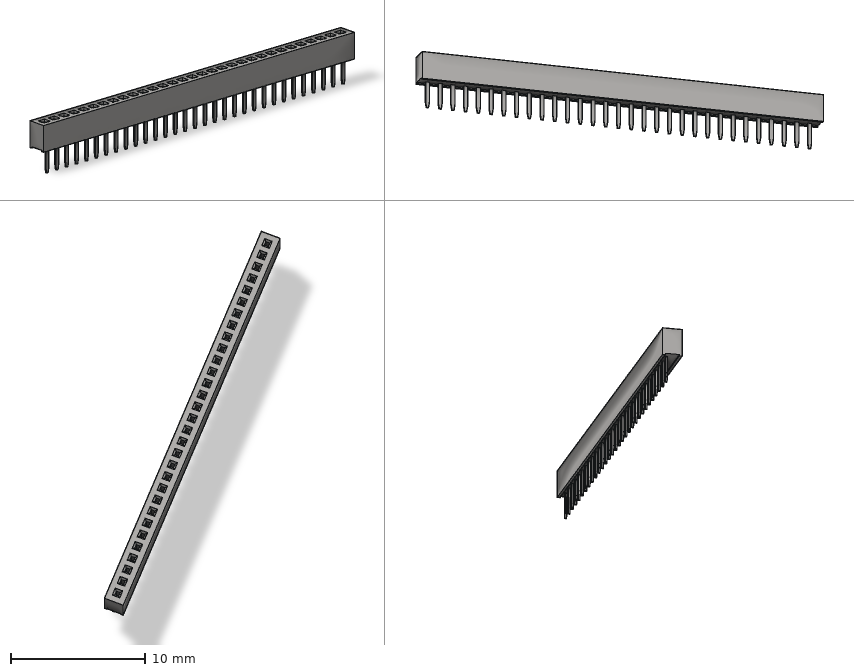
import cadquery as cq

contact_count = 31
pitch = 1.0
body_length = 31.5
body_width = 1.5
body_height = 2.1
overall_height = 4.0

foot_width = 0.22
foot_height = 0.1

socket_mouth = 0.6
socket_throat = 0.3
lead_in_depth = (socket_mouth - socket_throat) / 2
socket_depth = 1.25

pin_offset = 0.3
pin_thickness = 0.13
pin_width = 0.3
pin_tip_width = 0.15
pin_tip_length = 0.4

pin_end = body_height - overall_height
channel_width = body_width - 2 * foot_width
contact_places = [(i - (contact_count - 1) / 2) * pitch for i in range(contact_count)]


def make_body():
    """Rectangular housing standing on two feet at Z = 0."""
    housing = cq.Workplane("XY").box(body_width, body_length, body_height, centered=(True, True, False))
    channel = cq.Workplane("XY").box(channel_width, body_length, foot_height, centered=(True, True, False))
    return housing.cut(channel)


def make_socket(y):
    """Cutter for one socket: a tapered lead-in above a straight square well."""
    lead_in = (
        cq.Workplane("XY", origin=(0, y, body_height))
        .rect(socket_mouth, socket_mouth)
        .workplane(offset=-lead_in_depth)
        .rect(socket_throat, socket_throat)
        .loft(ruled=True)
    )
    well = (
        cq.Workplane("XY", origin=(0, y, body_height))
        .rect(socket_throat, socket_throat)
        .extrude(-socket_depth)
    )
    return lead_in.union(well)


def make_pin(y):
    """Flat pin below the channel roof, narrowed along Y at its tip."""
    half_width = pin_width / 2
    half_tip = pin_tip_width / 2
    shoulder = pin_end + pin_tip_length
    outline = [
        (-half_width, foot_height),
        (-half_width, shoulder),
        (-half_tip, pin_end),
        (half_tip, pin_end),
        (half_width, shoulder),
        (half_width, foot_height),
    ]
    return (
        cq.Workplane("YZ", origin=(pin_offset, y, 0))
        .polyline(outline)
        .close()
        .extrude(pin_thickness / 2, both=True)
    )


sockets = [make_socket(y).val() for y in contact_places]
pins = [make_pin(y).val() for y in contact_places]

body = make_body().cut(cq.Workplane(cq.Compound.makeCompound(sockets)))
result = cq.Workplane(body.val().fuse(*pins))